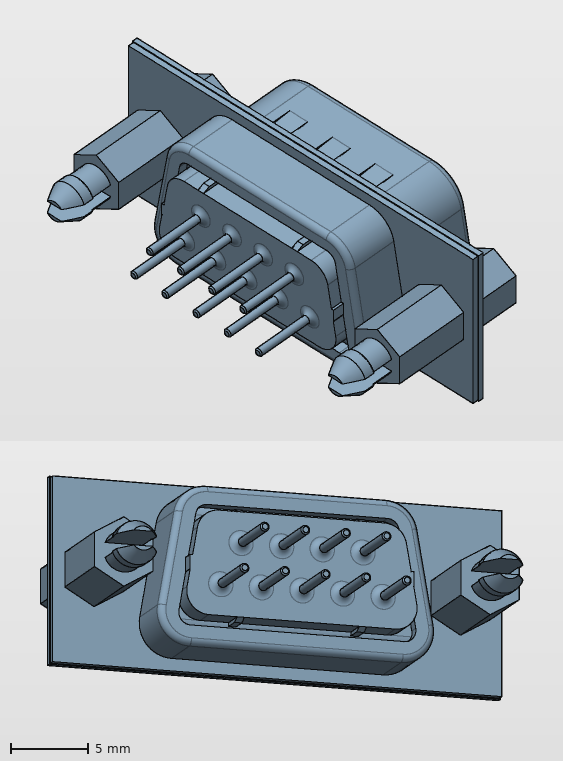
import cadquery as cq
import math


SIDE_SLOPE = math.tan(math.radians(10))
OVERLAP = 0.2

FLANGE_LENGTH = 30.8
FLANGE_HEIGHT = 12.5
BACK_PLATE_THICKNESS = 0.42
FRONT_PLATE_THICKNESS = 0.46
FRONT_PLATE_INSET = 0.07

MATING_HALF_WIDTH = 8.63
MATING_HEIGHT = 9.2
MATING_CORNER_RADIUS = 2.9
MATING_END_Y = 6.48
MATING_EDGE_RADIUS = 0.55

REAR_HALF_WIDTH = 8.9
REAR_HEIGHT = 10.7
REAR_CORNER_RADIUS = 2.2
REAR_END_Y = -4.54
REAR_EDGE_RADIUS = 0.45

INSERT_HALF_WIDTH = 7.53
INSERT_HEIGHT = 7.0
INSERT_CORNER_RADIUS = 1.5
INSERT_END_Y = -5.47

OPENING_HEIGHT = 8.1
OPENING_CORNER_RADIUS = 0.8
OPENING_STEP_DEPTH = 0.8
OPENING_STEP_RADIUS = (MATING_HEIGHT - INSERT_HEIGHT) / 2

NUB_X = 4.17
NUB_WIDTH = 0.5
NUB_RISE = 0.25
NUB_RAMP_LENGTH = 0.55
SIDE_NUB_HALF_SPAN = 7.65
SIDE_NUB_TOP_Z = 0.41
SIDE_NUB_BOTTOM_Z = -0.56

DIMPLE_PITCH = 3.8
DIMPLE_WIDTH = 1.6
DIMPLE_LENGTH = 2.25
DIMPLE_FRONT_Y = 1.12
DIMPLE_DEPTH = 0.2

PIN_PITCH = 2.77
ROW_SPACING = 2.84
TOP_ROW_COUNT = 4
BOTTOM_ROW_COUNT = 5
PIN_RADIUS = 0.3
PIN_END_Y = -10.38
PIN_CHAMFER = 0.1
PIN_FLARE_RADIUS = 0.83
PIN_FLARE_ARC_RADIUS = 0.57

STANDOFF_X = 12.5
HEX_ACROSS_FLATS = 4.0
HEX_BACK_Y = 4.48
HEX_FRONT_Y = -6.49
TAIL_RADIUS = 1.37
BARB_RADIUS = 1.46
TIP_RADIUS = 0.8
BARB_START_Y = -8.24
BARB_END_Y = -9.09
TAIL_END_Y = MATING_END_Y - 16.92
SLOT_WIDTH = 1.0


def block(length_x, height_z, back_y, front_y):
    """Box centred on x = 0, z = 0 between two Y positions."""
    depth = back_y - front_y
    return cq.Workplane("XY").box(length_x, depth, height_z).translate((0, (back_y + front_y) / 2, 0))


def d_prism(half_width, height, corner_radius, back_y, front_y):
    """Round-cornered trapezoid, wider at the bottom, extruded between two Y positions."""
    half_height = height / 2
    top = half_width - half_height * SIDE_SLOPE
    bottom = half_width + half_height * SIDE_SLOPE
    outline = [(-bottom, -half_height), (bottom, -half_height), (top, half_height), (-top, half_height)]
    prism = cq.Workplane("XZ", origin=(0, back_y, 0)).polyline(outline).close().extrude(back_y - front_y)
    return prism.edges("|Y").fillet(corner_radius)


def turned(outline):
    """Body of revolution about the Y axis from an open XY outline that starts and ends on the axis."""
    return outline.close().revolve(360, (0, 0), (0, 1))


def flange():
    back = block(FLANGE_LENGTH, FLANGE_HEIGHT, BACK_PLATE_THICKNESS, 0)
    front = block(
        FLANGE_LENGTH - 2 * FRONT_PLATE_INSET,
        FLANGE_HEIGHT - 2 * FRONT_PLATE_INSET,
        0,
        -FRONT_PLATE_THICKNESS,
    )
    return back.union(front)


def dimple(x):
    """Wedge that is deepest at its -Y end and runs out to the surface at its +Y end."""
    surface_z = MATING_HEIGHT / 2
    front_y = DIMPLE_FRONT_Y
    side = [
        (front_y, surface_z),
        (front_y + DIMPLE_LENGTH, surface_z),
        (front_y, surface_z - DIMPLE_DEPTH),
    ]
    wedge = cq.Workplane("YZ", origin=(x - DIMPLE_WIDTH / 2, 0, 0)).polyline(side).close()
    return wedge.extrude(DIMPLE_WIDTH)


def mating_shell():
    shell = d_prism(MATING_HALF_WIDTH, MATING_HEIGHT, MATING_CORNER_RADIUS, MATING_END_Y, 0)
    shell = shell.faces(">Y").edges().fillet(MATING_EDGE_RADIUS)
    for column in (-1, 0, 1):
        shell = shell.cut(dimple(column * DIMPLE_PITCH))
    return shell


def rear_shell():
    shell = d_prism(REAR_HALF_WIDTH, REAR_HEIGHT, REAR_CORNER_RADIUS, 0, REAR_END_Y)
    shell = shell.faces("<Y").edges().fillet(REAR_EDGE_RADIUS)
    step_y = REAR_END_Y + OPENING_STEP_DEPTH
    floor_y = step_y + OPENING_STEP_RADIUS
    opening = d_prism(INSERT_HALF_WIDTH, OPENING_HEIGHT, OPENING_CORNER_RADIUS, floor_y, REAR_END_Y)
    step = block(FLANGE_LENGTH, MATING_HEIGHT, 0, step_y)
    step = step.faces("<Y").edges("|X").fillet(OPENING_STEP_RADIUS)
    return shell.cut(opening.cut(step))


def insert_nubs(back_y):
    """Ramped ribs on the top and bottom faces of the insert."""
    base_z = INSERT_HEIGHT / 2
    crest_z = base_z + NUB_RISE
    side = [
        (back_y, base_z - OVERLAP),
        (back_y, crest_z),
        (INSERT_END_Y + NUB_RAMP_LENGTH, crest_z),
        (INSERT_END_Y, base_z),
        (INSERT_END_Y, base_z - OVERLAP),
    ]
    rib = cq.Workplane("YZ").polyline(side).close().extrude(NUB_WIDTH / 2, both=True)
    nubs = cq.Workplane("XY")
    for x in (-NUB_X, NUB_X):
        nubs = nubs.union(rib.translate((x, 0, 0)))
    return nubs.union(nubs.mirror("XY"))


def insert():
    back_y = REAR_END_Y + OPENING_STEP_DEPTH + OVERLAP
    body = d_prism(INSERT_HALF_WIDTH, INSERT_HEIGHT, INSERT_CORNER_RADIUS, back_y, INSERT_END_Y)
    side_nubs = block(2 * SIDE_NUB_HALF_SPAN, SIDE_NUB_TOP_Z - SIDE_NUB_BOTTOM_Z, back_y, INSERT_END_Y)
    side_nubs = side_nubs.translate((0, 0, (SIDE_NUB_TOP_Z + SIDE_NUB_BOTTOM_Z) / 2))
    return body.union(side_nubs).union(insert_nubs(back_y))


def pin(x, z):
    """Round pin that flares into the insert's face with a concave arc tangent to that face."""
    root_y = INSERT_END_Y + OVERLAP
    flare_width = PIN_FLARE_RADIUS - PIN_RADIUS
    flare_length = PIN_FLARE_ARC_RADIUS - math.sqrt(PIN_FLARE_ARC_RADIUS**2 - flare_width**2)
    outline = (
        cq.Workplane("XY")
        .moveTo(0, root_y)
        .lineTo(PIN_FLARE_RADIUS, root_y)
        .lineTo(PIN_FLARE_RADIUS, INSERT_END_Y)
        .radiusArc((PIN_RADIUS, INSERT_END_Y - flare_length), -PIN_FLARE_ARC_RADIUS)
        .lineTo(PIN_RADIUS, PIN_END_Y + PIN_CHAMFER)
        .lineTo(PIN_RADIUS - PIN_CHAMFER, PIN_END_Y)
        .lineTo(0, PIN_END_Y)
    )
    return turned(outline).translate((x, 0, z))


def pin_row(count, z):
    first_x = -PIN_PITCH * (count - 1) / 2
    row = cq.Workplane("XY")
    for index in range(count):
        row = row.union(pin(first_x + index * PIN_PITCH, z))
    return row


def standoff(x):
    across_corners = HEX_ACROSS_FLATS / math.cos(math.radians(30))
    body = cq.Workplane("XZ", origin=(0, HEX_BACK_Y, 0)).polygon(6, across_corners)
    body = body.extrude(HEX_BACK_Y - HEX_FRONT_Y).rotate((0, 0, 0), (0, 1, 0), 30)
    profile = [
        (0, HEX_FRONT_Y + OVERLAP),
        (TAIL_RADIUS, HEX_FRONT_Y + OVERLAP),
        (TAIL_RADIUS, BARB_START_Y),
        (BARB_RADIUS, BARB_START_Y),
        (BARB_RADIUS, BARB_END_Y),
        (TIP_RADIUS, TAIL_END_Y),
        (0, TAIL_END_Y),
    ]
    tail = turned(cq.Workplane("XY").polyline(profile))
    slot = block(2 * HEX_ACROSS_FLATS, SLOT_WIDTH, HEX_FRONT_Y, TAIL_END_Y)
    return body.union(tail.cut(slot)).translate((x, 0, 0))


result = flange().union(mating_shell()).union(rear_shell()).union(insert())
result = result.union(pin_row(TOP_ROW_COUNT, ROW_SPACING / 2))
result = result.union(pin_row(BOTTOM_ROW_COUNT, -ROW_SPACING / 2))
for side_x in (-STANDOFF_X, STANDOFF_X):
    result = result.union(standoff(side_x))